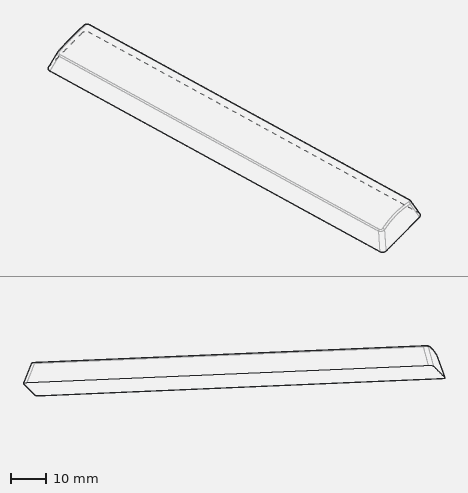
import cadquery as cq
import math

length = 118.3
width = 18.5
height = 7.2

wall_draft = 17.5
corner_radius = 1.3

crown_rise = 1.1
rim_radius = 0.6


def drafted_block():
    """Rectangular block whose walls lean inward, with rounded corner edges."""
    block = cq.Workplane("XY").rect(length, width).extrude(height, taper=wall_draft)
    return block.edges("not(#Z)").fillet(corner_radius)


def crown_envelope():
    """Full-length round bar whose upper surface is the crown."""
    shoulder_height = height - crown_rise
    half_chord = width / 2 - shoulder_height * math.tan(math.radians(wall_draft))
    crown_radius = (half_chord**2 + crown_rise**2) / (2 * crown_rise)
    axis_height = height - crown_radius
    return (
        cq.Workplane("YZ")
        .center(0, axis_height)
        .circle(crown_radius)
        .extrude(length / 2, both=True)
    )


def round_rim(body):
    """Round the closed edge loop around the crowned face."""
    return body.faces(">Z").edges().fillet(rim_radius)


result = round_rim(drafted_block().intersect(crown_envelope()))